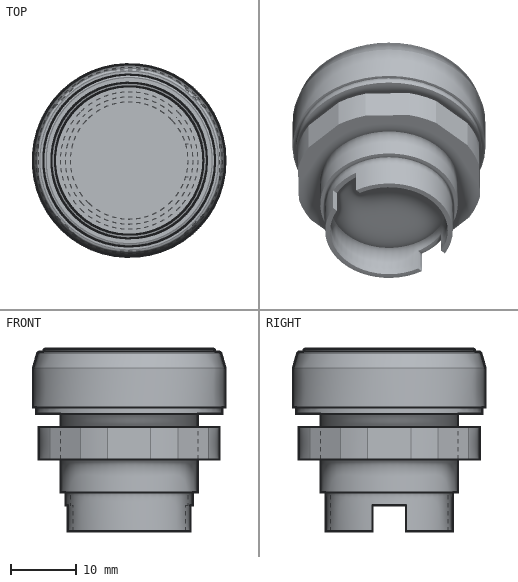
import cadquery as cq
import math

slot_top = 3.98
collar_bottom = 6.0
nut_bottom = 11.0
nut_height = 5.02
skirt_bottom = 18.0
head_bottom = 19.0
bevel_bottom = 25.0
shoulder_z = 27.52
overall_height = 28.0

spigot_radius = 9.75
bore_radius = 9.0
collar_radius = 10.53
skirt_radius = 14.28
head_radius = 14.75
bevel_top_radius = 14.0
shoulder_round = 0.45
lens_radius = 13.15
lens_round = 0.45
groove_outer_radius = 11.92
groove_inner_radius = 11.35
groove_depth = 0.45

slot_width = 5.1
nut_sides = 8
nut_across_flats = 27.73
nut_flat_length = 6.6


def disc(radius, bottom, top):
    return cq.Workplane("XY").workplane(offset=bottom).circle(radius).extrude(top - bottom)


def make_head():
    """Head with a tapered upper edge and a rounded shoulder."""
    head = (
        cq.Workplane("XZ")
        .moveTo(0, head_bottom)
        .lineTo(head_radius, head_bottom)
        .lineTo(head_radius, bevel_bottom)
        .lineTo(bevel_top_radius, shoulder_z)
        .lineTo(0, shoulder_z)
        .close()
        .revolve(360, (0, 0), (0, 1))
    )
    return head.faces(">Z").edges().fillet(shoulder_round)


def make_lens():
    """Raised round-edged disc with a ring groove in its top."""
    groove_bottom = overall_height - groove_depth
    groove = disc(groove_outer_radius, groove_bottom, overall_height).cut(
        disc(groove_inner_radius, groove_bottom, overall_height)
    )
    lens = disc(lens_radius, shoulder_z, overall_height)
    return lens.faces(">Z").edges().fillet(lens_round).cut(groove)


def make_housing():
    """Complete push button: spigot, collar, skirt, head and lens."""
    housing = (
        disc(spigot_radius, 0, collar_bottom)
        .union(disc(collar_radius, collar_bottom, skirt_bottom))
        .union(disc(skirt_radius, skirt_bottom, head_bottom))
        .union(make_head())
        .union(make_lens())
    )
    bore = disc(bore_radius, 0, collar_bottom)
    slot = cq.Workplane("XY").rect(2 * spigot_radius, slot_width).extrude(slot_top)
    return housing.cut(bore).cut(slot)


def make_nut():
    """Octagonal nut with its corners turned down to round stretches."""
    corner_diameter = nut_across_flats / math.cos(math.pi / nut_sides)
    round_radius = math.hypot(nut_across_flats / 2, nut_flat_length / 2)
    nut_top = nut_bottom + nut_height
    octagon = (
        cq.Workplane("XY")
        .workplane(offset=nut_bottom)
        .transformed(rotate=(0, 0, 180 / nut_sides))
        .polygon(nut_sides, corner_diameter)
        .extrude(nut_height)
    )
    return octagon.intersect(disc(round_radius, nut_bottom, nut_top)).cut(
        disc(collar_radius, nut_bottom, nut_top)
    )


housing = make_housing()
nut = make_nut()
result = cq.Compound.makeCompound([housing.val(), nut.val()])